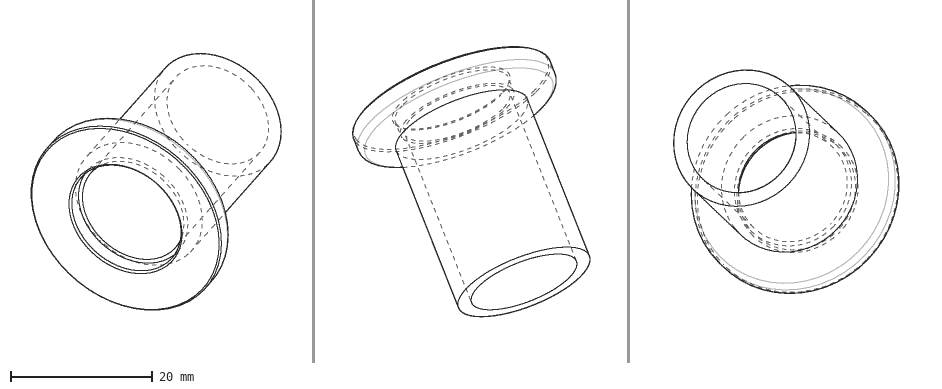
import cadquery as cq
import math

length = 30.0
flange_radius = 15.0
tube_radius = length / 3
bore_radius = 0.8 * tube_radius

rim_height = 3.0
clamp_angle = 15.0
rim_rounding = 1.0
rim_chamfer = 0.25

recess_radius = 8.6
recess_depth = 2.5
recess_chamfer = 0.3

clamp_rise = (flange_radius - tube_radius) * math.tan(math.radians(clamp_angle))
tube_start = rim_height + clamp_rise
face_y = -length / 2


def revolve_about_y(profile):
    return profile.close().revolve(360, (0, 0, 0), (0, 1, 0))


def rounded_rim(profile):
    """Run up the rim and round it tangentially into the clamping face."""
    slope = math.radians(clamp_angle)
    turn = math.pi / 2 - slope
    tangent_length = rim_rounding * math.tan(turn / 2)
    arc_start = rim_height - tangent_length
    arc_end = (
        flange_radius - tangent_length * math.cos(slope),
        rim_height + tangent_length * math.sin(slope),
    )
    arc_middle = (
        flange_radius - rim_rounding * (1 - math.cos(turn / 2)),
        arc_start + rim_rounding * math.sin(turn / 2),
    )
    return profile.lineTo(flange_radius, arc_start).threePointArc(arc_middle, arc_end)


def flanged_tube():
    profile = (
        cq.Workplane("XY")
        .lineTo(flange_radius - rim_chamfer, 0)
        .lineTo(flange_radius, rim_chamfer)
    )
    profile = (
        rounded_rim(profile)
        .lineTo(tube_radius, tube_start)
        .lineTo(tube_radius, length)
        .lineTo(0, length)
    )
    return revolve_about_y(profile)


def bore_with_recess():
    profile = (
        cq.Workplane("XY")
        .lineTo(recess_radius + recess_chamfer, 0)
        .lineTo(recess_radius, recess_chamfer)
        .lineTo(recess_radius, recess_depth)
        .lineTo(bore_radius, recess_depth)
        .lineTo(bore_radius, length)
        .lineTo(0, length)
    )
    return revolve_about_y(profile)


result = flanged_tube().cut(bore_with_recess()).translate((0, face_y, 0))